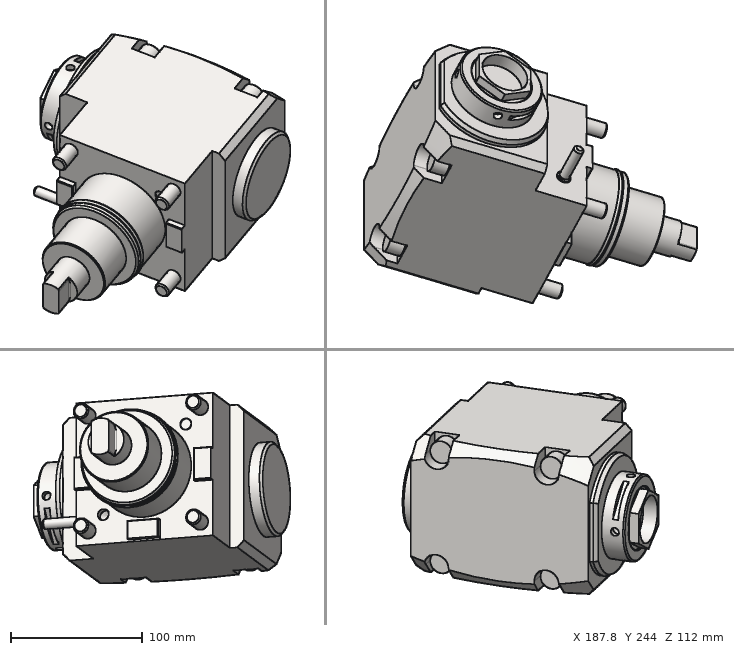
import cadquery as cq
import math


HEIGHT = 112.0
HALF_HEIGHT = HEIGHT / 2
BASE_WIDTH = 109.5
BASE_DEPTH = 42.0
BACK_Y = 134.0
HEAD_LEFT = -79.0
HEAD_RIGHT = 66.0
HEAD_CENTER_X = (HEAD_LEFT + HEAD_RIGHT) / 2
HEAD_CHAMFER = 5.3
SPINDLE_Y = 90.0

BEVEL_SIZE = 6.7
BEVEL_ARCH_RADIUS = 360.0
BEVEL_CUTTER_SPAN = 200.0
BEVEL_CUTTER_LENGTH = 120.0
BEVEL_CUTTER_HEIGHT = 40.0

SCREW_SPACING = 90.0
SCREW_DIAMETER = 12.0
SCREW_PROTRUSION = 19.0
SCREW_CHAMFER = 1.2
SCREW_HEAD_DIAMETER = 18.0
SCREW_HEAD_HEIGHT = 12.5
SCREW_POCKET_WIDTH = 20.0
SCREW_POCKET_DEPTH = 23.0

KEY_LENGTH = 25.0
KEY_WIDTH = 14.0
KEY_HEIGHT = 5.0
KEY_CHAMFER = 0.6
BOTTOM_KEY_OFFSET = 1.5

FACE_HOLE_OFFSET = 33.0
FACE_HOLE_DIAMETER = 8.7
PLAIN_HOLE_DEPTH = 1.0
DRILLED_HOLE_DEPTH = 6.0
DRILL_POINT_ANGLE = 118.0

SHANK_DIAMETER = 75.0
SHANK_LENGTH = 42.5
SHANK_CHAMFER = 1.5
RING_DIAMETER = 76.5
RING_WIDTH = 2.8
GROOVE_START = 33.8
GROOVE_WIDTH = 3.6
GROOVE_DEPTH = 0.8
SEAT_DIAMETER = 55.0
SEAT_END = 75.5
SEAT_CHAMFER = 0.8
SHAFT_DIAMETER = 28.5
SHAFT_LENGTH = 110.0
TANG_THICKNESS = 14.0
TANG_LENGTH = 15.5
TANG_ROOT_RADIUS = 1.0
TANG_FACE_WIDTH = 22.6
TANG_BEVEL_SLOPE = 0.3

PIN_Y = 19.0
PIN_Z = -32.0
PIN_DIAMETER = 8.0
PIN_LENGTH = 32.5
PIN_TIP_CHAMFER = 1.5
PIN_COLLAR_DIAMETER = 11.0
PIN_COLLAR_LENGTH = 2.0
PIN_COLLAR_CHAMFER = 1.0

LEFT_COVER_DIAMETER = 95.0
LEFT_COVER_THICKNESS = 6.5
LEFT_COVER_FLAT_Y = 131.0
LEFT_COVER_CHAMFER_AXIAL = 3.7
LEFT_COVER_CHAMFER_RADIAL = 1.7
RIGHT_COVER_DIAMETER = 72.3
RIGHT_COVER_THICKNESS = 10.5
RIGHT_COVER_CHAMFER = 2.0

NUT_GAP = 0.5
NUT_DIAMETER = 67.5
NUT_LENGTH = 18.6
NUT_CHAMFER = 1.2
NUT_BORE = 48.5
NUT_BORE_CHAMFER = 0.8
NOSE_RECESS = 0.8
HEX_ACROSS_FLATS = 42.0
HEX_LENGTH = 6.7
NOSE_BORE_DIAMETER = 37.0
NOSE_BORE_DEPTH = 11.5
NUT_HOLE_DIAMETER = 6.5
NUT_HOLE_DEPTH = 5.0
NUT_HOLE_SETBACK = 7.8
NUT_HOLE_COUNT = 4
NUT_SLOT_WIDTH = 4.2
NUT_SLOT_FLOOR = 29.6
NUT_SLOT_ANGLES = (135.0, 315.0)

COVER_FRONT_X = HEAD_LEFT - LEFT_COVER_THICKNESS
NUT_BACK_X = COVER_FRONT_X - NUT_GAP
NUT_FRONT_X = NUT_BACK_X - NUT_LENGTH
NUT_HOLE_X = NUT_FRONT_X + NUT_HOLE_SETBACK
SCREW_POSITIONS = [
    (sx * SCREW_SPACING / 2, sz * SCREW_SPACING / 2)
    for sx in (-1, 1)
    for sz in (-1, 1)
]


def cylinder(start, direction, diameter, length):
    """Cylinder that grows from the start point along the direction."""
    solid = cq.Solid.makeCylinder(diameter / 2, length, cq.Vector(*start), cq.Vector(*direction))
    return cq.Workplane(solid)


def box(x_range, y_range, z_range):
    """Box between the given limits on each axis."""
    lows, highs = zip(x_range, y_range, z_range)
    sizes = [high - low for low, high in zip(lows, highs)]
    return cq.Workplane().box(*sizes, centered=False).translate(lows)


def drilled_hole(start, direction, diameter, depth):
    """Cutter for a blind hole that ends in a drill point."""
    axis = cq.Vector(*direction)
    radius = diameter / 2
    point_length = radius / math.tan(math.radians(DRILL_POINT_ANGLE / 2))
    point_start = cq.Vector(*start) + axis * depth
    point = cq.Solid.makeCone(radius, 0, point_length, point_start, axis)
    return cylinder(start, direction, diameter, depth).union(cq.Workplane(point))


def housing_block():
    base = box(
        (-BASE_WIDTH / 2, BASE_WIDTH / 2),
        (0, BASE_DEPTH),
        (-HALF_HEIGHT, HALF_HEIGHT),
    )
    head = box(
        (HEAD_LEFT, HEAD_RIGHT),
        (BASE_DEPTH, BACK_Y),
        (-HALF_HEIGHT, HALF_HEIGHT),
    ).edges("|Y").chamfer(HEAD_CHAMFER)
    return base.union(head)


def bevel_cutter():
    """Cutter for the top back edge; its inner side is a wide arc swept at 45 degrees."""
    half_span = BEVEL_CUTTER_SPAN / 2
    sagitta = BEVEL_ARCH_RADIUS - math.sqrt(BEVEL_ARCH_RADIUS**2 - half_span**2)
    plane = cq.Plane(
        origin=(HEAD_CENTER_X, BACK_Y - BEVEL_SIZE, HALF_HEIGHT),
        xDir=(1, 0, 0),
        normal=(0, -1, 1),
    )
    return (
        cq.Workplane(plane)
        .moveTo(-half_span, -sagitta)
        .threePointArc((0, 0), (half_span, -sagitta))
        .lineTo(half_span, BEVEL_CUTTER_HEIGHT)
        .lineTo(-half_span, BEVEL_CUTTER_HEIGHT)
        .close()
        .extrude(BEVEL_CUTTER_LENGTH / 2, both=True)
    )


def screw_pocket(x, z):
    """U-shaped pocket for a screw head, open to the back and to the top or underside."""
    half_width = SCREW_POCKET_WIDTH / 2
    pocket_floor = BACK_Y - SCREW_POCKET_DEPTH
    round_end = cylinder((x, pocket_floor, z), (0, 1, 0), SCREW_POCKET_WIDTH, SCREW_POCKET_DEPTH)
    outer_z = math.copysign(HALF_HEIGHT, z)
    open_end = box(
        (x - half_width, x + half_width),
        (pocket_floor, BACK_Y),
        (min(z, outer_z), max(z, outer_z)),
    )
    return round_end.union(open_end)


def screw_head(x, z):
    head_seat = BACK_Y - SCREW_POCKET_DEPTH
    return cylinder((x, head_seat, z), (0, 1, 0), SCREW_HEAD_DIAMETER, SCREW_HEAD_HEIGHT)


def screw_end(x, z):
    end = cylinder((x, 0, z), (0, -1, 0), SCREW_DIAMETER, SCREW_PROTRUSION)
    return end.faces("<Y").chamfer(SCREW_CHAMFER)


def side_key(side):
    """Key flush with the left (-1) or right (1) side of the base."""
    outer = side * BASE_WIDTH / 2
    inner = outer - side * KEY_WIDTH
    key = box(
        (min(inner, outer), max(inner, outer)),
        (-KEY_HEIGHT, 0),
        (-KEY_LENGTH / 2, KEY_LENGTH / 2),
    )
    inner_edge = "<X" if side > 0 else ">X"
    return key.faces("<Y").edges(f"|X or {inner_edge}").chamfer(KEY_CHAMFER)


def bottom_key():
    low = -HALF_HEIGHT + BOTTOM_KEY_OFFSET
    key = box(
        (-KEY_LENGTH / 2, KEY_LENGTH / 2),
        (-KEY_HEIGHT, 0),
        (low, low + KEY_WIDTH),
    )
    return key.faces("<Y").edges("|Z or >Z").chamfer(KEY_CHAMFER)


def tang_cutter():
    """Cutter for the right face of the tang, with bevelled long edges and a rounded root."""
    face_x = TANG_THICKNESS / 2
    half_face = TANG_FACE_WIDTH / 2
    clearance = SHAFT_DIAMETER
    bevel_end_x = face_x - TANG_BEVEL_SLOPE * (clearance - half_face)
    cutter = (
        cq.Workplane("XZ", origin=(0, TANG_LENGTH - SHAFT_LENGTH, 0))
        .moveTo(face_x, half_face)
        .lineTo(bevel_end_x, clearance)
        .lineTo(clearance, clearance)
        .lineTo(clearance, -clearance)
        .lineTo(bevel_end_x, -clearance)
        .lineTo(face_x, -half_face)
        .close()
        .extrude(TANG_LENGTH)
    )
    root_point = (face_x, TANG_LENGTH - SHAFT_LENGTH, 0)
    return cutter.edges(cq.selectors.NearestToPointSelector(root_point)).fillet(TANG_ROOT_RADIUS)


def drive_shank():
    """Stepped shank with a sealing ring and a flat driving tang."""
    toward_drive = (0, -1, 0)
    shank = cylinder((0, 0, 0), toward_drive, SHANK_DIAMETER, SHANK_LENGTH)
    shank = shank.faces("<Y").chamfer(SHANK_CHAMFER)
    groove_start = (0, -GROOVE_START, 0)
    groove_floor = SHANK_DIAMETER - 2 * GROOVE_DEPTH
    groove = cylinder(groove_start, toward_drive, SHANK_DIAMETER, GROOVE_WIDTH)
    groove = groove.cut(cylinder(groove_start, toward_drive, groove_floor, GROOVE_WIDTH))
    shank = shank.cut(groove)
    ring_radius = RING_WIDTH / 2
    ring_center = cq.Vector(0, -GROOVE_START - ring_radius, 0)
    ring_turn_radius = RING_DIAMETER / 2 - ring_radius
    ring_axis = cq.Vector(*toward_drive)
    ring = cq.Workplane(cq.Solid.makeTorus(ring_turn_radius, ring_radius, ring_center, ring_axis))
    seat = cylinder((0, 0, 0), toward_drive, SEAT_DIAMETER, SEAT_END)
    seat = seat.faces("<Y").chamfer(SEAT_CHAMFER)
    shaft = cylinder((0, 0, 0), toward_drive, SHAFT_DIAMETER, SHAFT_LENGTH)
    cutter = tang_cutter()
    shaft = shaft.cut(cutter).cut(cutter.mirror("YZ"))
    return shank.union(ring).union(seat).union(shaft)


def coolant_pin():
    start = (-BASE_WIDTH / 2, PIN_Y, PIN_Z)
    pin = cylinder(start, (-1, 0, 0), PIN_DIAMETER, PIN_LENGTH)
    pin = pin.faces("<X").chamfer(PIN_TIP_CHAMFER)
    collar = cylinder(start, (-1, 0, 0), PIN_COLLAR_DIAMETER, PIN_COLLAR_LENGTH)
    collar = collar.faces("<X").chamfer(PIN_COLLAR_CHAMFER)
    return pin.union(collar)


def left_cover():
    """Round cover with a flat at the back and a chamfer all round its front."""
    cover = cylinder((HEAD_LEFT, SPINDLE_Y, 0), (-1, 0, 0), LEFT_COVER_DIAMETER, LEFT_COVER_THICKNESS)
    beyond_flat = box(
        (COVER_FRONT_X, HEAD_LEFT),
        (LEFT_COVER_FLAT_Y, SPINDLE_Y + LEFT_COVER_DIAMETER),
        (-LEFT_COVER_DIAMETER, LEFT_COVER_DIAMETER),
    )
    cover = cover.cut(beyond_flat)
    front_edges = cover.faces("<X").edges().vals()
    chamfered = cover.val().chamfer(LEFT_COVER_CHAMFER_AXIAL, LEFT_COVER_CHAMFER_RADIAL, front_edges)
    return cq.Workplane(chamfered)


def right_cover():
    cover = cylinder((HEAD_RIGHT, SPINDLE_Y, 0), (1, 0, 0), RIGHT_COVER_DIAMETER, RIGHT_COVER_THICKNESS)
    return cover.faces(">X").chamfer(RIGHT_COVER_CHAMFER)


def spindle_nose():
    """Round spindle end inside the nut, with a bored hexagon in front."""
    shoulder_x = NUT_FRONT_X + NOSE_RECESS
    hex_front_x = NUT_FRONT_X - HEX_LENGTH
    core = cylinder((HEAD_LEFT, SPINDLE_Y, 0), (-1, 0, 0), NUT_BORE, HEAD_LEFT - shoulder_x)
    hexagon = (
        cq.Workplane("YZ", origin=(hex_front_x, SPINDLE_Y, 0))
        .polygon(6, HEX_ACROSS_FLATS, circumscribed=True)
        .extrude(shoulder_x - hex_front_x)
    )
    bore = cylinder((hex_front_x, SPINDLE_Y, 0), (1, 0, 0), NOSE_BORE_DIAMETER, NOSE_BORE_DEPTH)
    return core.union(hexagon).cut(bore)


def make_housing():
    housing = housing_block()
    bevel = bevel_cutter()
    housing = housing.cut(bevel).cut(bevel.mirror("XY"))
    for x, z in SCREW_POSITIONS:
        housing = housing.cut(screw_pocket(x, z))
        housing = housing.union(screw_head(x, z)).union(screw_end(x, z))
    plain_hole = cylinder(
        (FACE_HOLE_OFFSET, 0, FACE_HOLE_OFFSET), (0, 1, 0), FACE_HOLE_DIAMETER, PLAIN_HOLE_DEPTH
    )
    deep_hole = drilled_hole(
        (-FACE_HOLE_OFFSET, 0, -FACE_HOLE_OFFSET), (0, 1, 0), FACE_HOLE_DIAMETER, DRILLED_HOLE_DEPTH
    )
    housing = housing.cut(plain_hole).cut(deep_hole)
    additions = [
        side_key(-1),
        side_key(1),
        bottom_key(),
        drive_shank(),
        coolant_pin(),
        left_cover(),
        right_cover(),
        spindle_nose(),
    ]
    for addition in additions:
        housing = housing.union(addition)
    return housing


def nut_slot(angle):
    """Cutter for a flat-bottomed slot whose floor faces the given angle about the spindle axis."""
    slot = box(
        (NUT_HOLE_X - NUT_SLOT_WIDTH / 2, NUT_HOLE_X + NUT_SLOT_WIDTH / 2),
        (SPINDLE_Y - NUT_DIAMETER, SPINDLE_Y + NUT_DIAMETER),
        (NUT_SLOT_FLOOR, NUT_DIAMETER),
    )
    return slot.rotate((0, SPINDLE_Y, 0), (1, SPINDLE_Y, 0), angle)


def make_nut():
    """Ring-shaped spindle nut with radial spanner holes and two spanner slots."""
    nut = cylinder((NUT_BACK_X, SPINDLE_Y, 0), (-1, 0, 0), NUT_DIAMETER, NUT_LENGTH)
    nut = nut.faces("<X").chamfer(NUT_CHAMFER)
    bore = cylinder((NUT_BACK_X, SPINDLE_Y, 0), (-1, 0, 0), NUT_BORE, NUT_LENGTH)
    nut = nut.cut(bore)
    bore_rim = nut.faces("<X").edges(cq.selectors.RadiusNthSelector(0))
    nut = bore_rim.chamfer(NUT_BORE_CHAMFER)
    radius = NUT_DIAMETER / 2
    for i in range(NUT_HOLE_COUNT):
        angle = 2 * math.pi * i / NUT_HOLE_COUNT
        outward_y = math.cos(angle)
        outward_z = math.sin(angle)
        start = (NUT_HOLE_X, SPINDLE_Y + radius * outward_y, radius * outward_z)
        inward = (0, -outward_y, -outward_z)
        nut = nut.cut(drilled_hole(start, inward, NUT_HOLE_DIAMETER, NUT_HOLE_DEPTH))
    for angle in NUT_SLOT_ANGLES:
        nut = nut.cut(nut_slot(angle))
    return nut


housing = make_housing()
nut = make_nut()
result = cq.Compound.makeCompound([housing.solids().val(), nut.solids().val()])